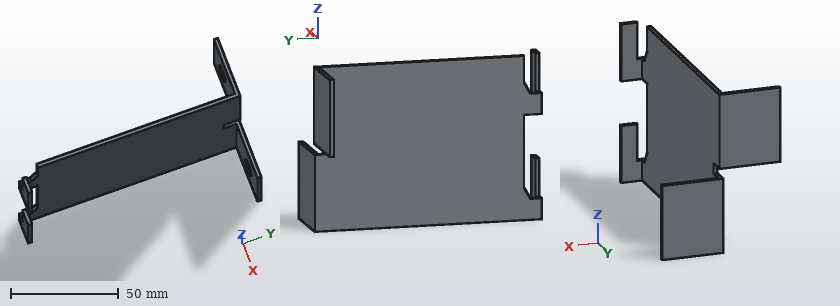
import cadquery as cq
import math

width = 58.0
length = 108.7
height = 78.0
thickness = 2.0

flange_height = 36.5
pad_radius = 4.1
pad_inset = 11.5
pad_projection = 0.3

slot_depth = 8.2
slot_height = height - 2 * flange_height

hook_width = 12.1
hook_base_height = 10.0
post_height = 18.0
post_offset = 4.2
hook_reach = 8.5
relief_run = 3.3
relief_angle = 60
relief_rise = relief_run * math.tan(math.radians(relief_angle))

web_left = -thickness / 2
hook_height = hook_base_height + post_height
hook_bottoms = (0, height - hook_height)


def box(x, y, z, dx, dy, dz):
    """Box with its lowest corner at (x, y, z)."""
    return cq.Workplane("XY").box(dx, dy, dz, centered=False).translate((x, y, z))


def make_web():
    """Plate in the YZ plane with hook arms at the front and a slot at the rear."""
    lower_seat = hook_bottoms[0] + hook_base_height
    upper_seat = hook_bottoms[1] + hook_base_height
    plate = (
        cq.Workplane("YZ", origin=(web_left, 0, 0))
        .moveTo(0, 0)
        .lineTo(0, lower_seat)
        .lineTo(hook_reach - relief_run, lower_seat)
        .lineTo(hook_reach, lower_seat + relief_rise)
        .lineTo(hook_reach, hook_bottoms[1])
        .lineTo(0, hook_bottoms[1])
        .lineTo(0, upper_seat)
        .lineTo(hook_reach - relief_run, upper_seat)
        .lineTo(hook_reach, upper_seat + relief_rise)
        .lineTo(hook_reach, height)
        .lineTo(length, height)
        .lineTo(length, 0)
        .close()
        .extrude(thickness)
    )
    slot = box(web_left, length - slot_depth, flange_height, thickness, slot_depth, slot_height)
    return plate.cut(slot)


def make_flange(side, bottom):
    """Rear flange reaching to the given side (-1 or +1), with its round pad."""
    reach = width / 2 - web_left
    left = -width / 2 if side < 0 else web_left
    front = length - thickness
    plate = box(left, front, bottom, reach, thickness, flange_height)
    pad_x = side * (width / 2 - pad_inset)
    pad_z = bottom + flange_height / 2
    pad = (
        cq.Workplane("XZ", origin=(pad_x, front, pad_z))
        .circle(pad_radius)
        .extrude(pad_projection)
    )
    return plate.union(pad)


def make_hook(bottom):
    """L-shaped hook: a base bent off the web and an upright post."""
    base = box(web_left, 0, bottom, hook_width, thickness, hook_base_height)
    post_width = hook_width - post_offset
    post = box(web_left + post_offset, 0, bottom, post_width, thickness, hook_height)
    return base.union(post)


result = make_web()
result = result.union(make_flange(-1, height - flange_height))
result = result.union(make_flange(1, 0))
for hook_bottom in hook_bottoms:
    result = result.union(make_hook(hook_bottom))